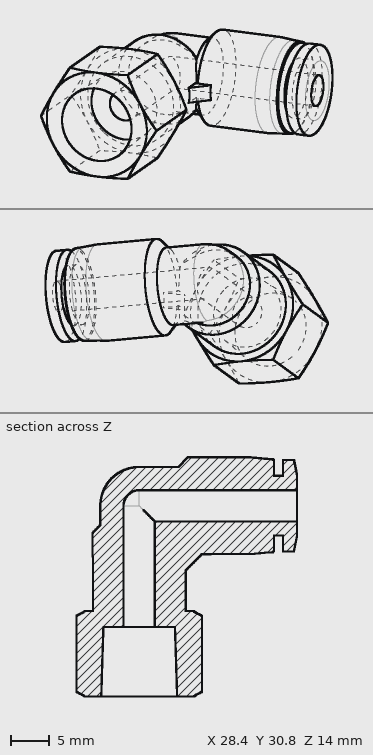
import cadquery as cq
import math


elbow_radius = 5.0
passage_radius = 2.0

sleeve_radius = 6.0
sleeve_start = 2.5
sleeve_chamfer = sleeve_radius - elbow_radius
thread_end = 24.5

across_flats = 14.0
hex_length = 11.0
hex_start = thread_end - hex_length
hex_chamfer_angle = 30
corner_radius = across_flats / math.sqrt(3)
hex_chamfer_depth = (corner_radius - across_flats / 2) * math.tan(math.radians(hex_chamfer_angle))

bore_mouth_radius = 4.85
bore_depth = 8.92
bore_taper = 1 / 32
bore_bottom_radius = bore_mouth_radius - bore_depth * bore_taper

body_radius = 6.25
body_start = elbow_radius
body_chamfer = body_radius - elbow_radius
taper_start = 14.27
taper_middle = 16.25
taper_middle_radius = 6.05
body_end = 17.35
body_end_radius = 6.0
body_edge_chamfer = 0.15

neck_radius = 3.87
ring_radius = 5.9
ring_start = 18.45
ring_face_start = 19.9
ring_end = 20.3
ring_end_radius = 3.87

rib_thickness = 2.0
rib_reach = 14.27


def revolve_along_x(profile):
    """Turn (x, radius) points around the X axis."""
    return cq.Workplane("XY").polyline(profile).close().revolve(360, (0, 0, 0), (1, 0, 0))


def revolve_along_y(profile):
    """Turn (distance along -Y, radius) points around the Y axis."""
    points = [(radius, -distance) for distance, radius in profile]
    return cq.Workplane("XY").polyline(points).close().revolve(360, (0, 0, 0), (0, 1, 0))


def make_threaded_leg():
    return revolve_along_y([
        (0, 0),
        (0, elbow_radius),
        (sleeve_start, elbow_radius),
        (sleeve_start + sleeve_chamfer, sleeve_radius),
        (thread_end, sleeve_radius),
        (thread_end, 0),
    ])


def make_hex():
    prism = (
        cq.Workplane("XZ", origin=(0, -hex_start, 0))
        .polygon(6, 2 * corner_radius)
        .extrude(hex_length)
    )
    corner_trim = revolve_along_y([
        (hex_start, 0),
        (hex_start, across_flats / 2),
        (hex_start + hex_chamfer_depth, corner_radius),
        (thread_end - hex_chamfer_depth, corner_radius),
        (thread_end, across_flats / 2),
        (thread_end, 0),
    ])
    return prism.intersect(corner_trim)


def make_tube_leg():
    return revolve_along_x([
        (0, 0),
        (0, elbow_radius),
        (body_start, elbow_radius),
        (body_start + body_chamfer, body_radius),
        (taper_start, body_radius),
        (taper_middle, taper_middle_radius),
        (body_end - body_edge_chamfer, body_end_radius),
        (body_end, body_end_radius - body_edge_chamfer),
        (body_end, neck_radius),
        (ring_start, neck_radius),
        (ring_start, ring_radius),
        (ring_face_start, ring_radius),
        (ring_end, ring_end_radius),
        (ring_end, 0),
    ])


def make_rib():
    return (
        cq.Workplane("XY")
        .polyline([(0, 0), (rib_reach, 0), (0, -rib_reach)])
        .close()
        .extrude(rib_thickness / 2, both=True)
    )


def make_passage():
    """Round elbow passage that opens at the thread bore and at the release ring."""
    toward_thread = cq.Workplane("XZ").circle(passage_radius).extrude(thread_end)
    toward_tube = cq.Workplane("YZ").circle(passage_radius).extrude(ring_end)
    return cq.Workplane("XY").sphere(passage_radius).union(toward_thread).union(toward_tube)


def make_thread_bore():
    return revolve_along_y([
        (thread_end - bore_depth, 0),
        (thread_end - bore_depth, bore_bottom_radius),
        (thread_end, bore_mouth_radius),
        (thread_end, 0),
    ])


result = (
    cq.Workplane("XY")
    .sphere(elbow_radius)
    .union(make_threaded_leg())
    .union(make_tube_leg())
    .union(make_hex())
    .union(make_rib())
    .cut(make_thread_bore())
    .cut(make_passage())
)